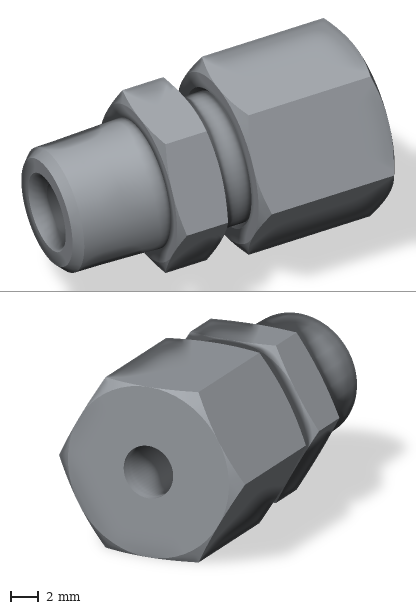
import cadquery as cq
import math

BORE_DIAMETER = 4.0
HEX_SIDES = 6

NUT_ACROSS_FLATS = 13.0
NUT_LENGTH = 11.0
NUT_CHAMFER_ANGLE = 30.0
NUT_MOUTH_CHAMFER = 0.35

COLLAR_ACROSS_FLATS = 12.0
COLLAR_LENGTH = 4.0
COLLAR_CHAMFER_ANGLE = 20.0

NECK_DIAMETER = 10.0
NECK_EXPOSED_LENGTH = 2.34
NECK_ENGAGEMENT = NUT_LENGTH / 2

TAPER_LENGTH = 7.5
TAPER_BASE_DIAMETER = 9.92
TAPER_RATIO = 1 / 16
TIP_CHAMFER = 0.63
COUNTERSINK_DIAMETER = 6.0
COUNTERSINK_DEPTH = (COUNTERSINK_DIAMETER - BORE_DIAMETER) / 2

TIP_Y = 0.0
COLLAR_FRONT_Y = TIP_Y + TAPER_LENGTH
COLLAR_BACK_Y = COLLAR_FRONT_Y + COLLAR_LENGTH
NUT_FRONT_Y = COLLAR_BACK_Y + NECK_EXPOSED_LENGTH
NECK_END_Y = NUT_FRONT_Y + NECK_ENGAGEMENT
NUT_BACK_Y = NUT_FRONT_Y + NUT_LENGTH


def revolve_about_y(profile):
    """Solid of revolution about Y from (radius, y) points."""
    return cq.Workplane("XY").polyline(profile).close().revolve(360, (0, 0, 0), (0, 1, 0))


def cylinder(diameter, start_y, end_y):
    radius = diameter / 2
    return revolve_about_y([(0, start_y), (radius, start_y), (radius, end_y), (0, end_y)])


def chamfered_hexagon(across_flats, start_y, end_y, chamfer_angle):
    """Hexagonal bar with flats facing +Z and -Z and conical chamfers cutting the corners at both ends."""
    face_radius = across_flats / 2
    corner_radius = face_radius / math.cos(math.pi / HEX_SIDES)
    chamfer_depth = (corner_radius - face_radius) * math.tan(math.radians(chamfer_angle))
    bar = (
        cq.Workplane("XZ", origin=(0, start_y, 0))
        .polygon(HEX_SIDES, 2 * corner_radius)
        .extrude(start_y - end_y)
    )
    envelope = revolve_about_y([
        (0, start_y),
        (face_radius, start_y),
        (corner_radius, start_y + chamfer_depth),
        (corner_radius, end_y - chamfer_depth),
        (face_radius, end_y),
        (0, end_y),
    ])
    return bar.intersect(envelope)


def tapered_end():
    """Tapered pipe-thread blank with a 45 degree chamfer at its tip."""
    base_radius = TAPER_BASE_DIAMETER / 2
    shoulder_y = TIP_Y + TIP_CHAMFER
    shoulder_radius = base_radius - (COLLAR_FRONT_Y - shoulder_y) * TAPER_RATIO / 2
    return revolve_about_y([
        (0, TIP_Y),
        (shoulder_radius - TIP_CHAMFER, TIP_Y),
        (shoulder_radius, shoulder_y),
        (base_radius, COLLAR_FRONT_Y),
        (0, COLLAR_FRONT_Y),
    ])


def countersink():
    return revolve_about_y([
        (0, TIP_Y),
        (COUNTERSINK_DIAMETER / 2, TIP_Y),
        (BORE_DIAMETER / 2, TIP_Y + COUNTERSINK_DEPTH),
        (0, TIP_Y + COUNTERSINK_DEPTH),
    ])


def make_fitting_body():
    collar = chamfered_hexagon(COLLAR_ACROSS_FLATS, COLLAR_FRONT_Y, COLLAR_BACK_Y, COLLAR_CHAMFER_ANGLE)
    neck = cylinder(NECK_DIAMETER, COLLAR_BACK_Y, NECK_END_Y)
    bore = cylinder(BORE_DIAMETER, TIP_Y, NECK_END_Y)
    return collar.union(tapered_end()).union(neck).cut(bore).cut(countersink())


def nut_mouth_chamfer():
    """45 degree cone that breaks the edge of the nut's recess, leaving a groove around the neck."""
    neck_radius = NECK_DIAMETER / 2
    return revolve_about_y([
        (0, NUT_FRONT_Y),
        (neck_radius + NUT_MOUTH_CHAMFER, NUT_FRONT_Y),
        (neck_radius, NUT_FRONT_Y + NUT_MOUTH_CHAMFER),
        (0, NUT_FRONT_Y + NUT_MOUTH_CHAMFER),
    ])


def make_nut():
    """Coupling nut: a recess takes the neck, and the bore runs on through its back wall."""
    blank = chamfered_hexagon(NUT_ACROSS_FLATS, NUT_FRONT_Y, NUT_BACK_Y, NUT_CHAMFER_ANGLE)
    recess = cylinder(NECK_DIAMETER, NUT_FRONT_Y, NECK_END_Y)
    bore = cylinder(BORE_DIAMETER, NECK_END_Y, NUT_BACK_Y)
    return blank.cut(recess).cut(nut_mouth_chamfer()).cut(bore)


fitting_body = make_fitting_body()
nut = make_nut()

result = cq.Compound.makeCompound([fitting_body.solids().val(), nut.solids().val()])